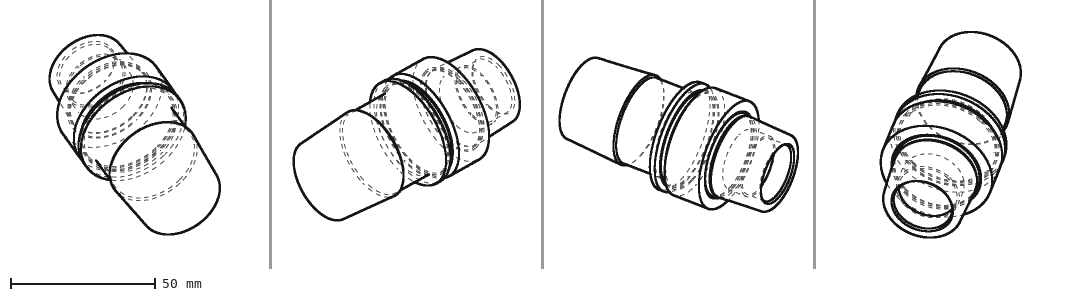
import cadquery as cq

overall_length = 79.9

tip_radius = 14.2
tip_rounding = 0.8
taper_end_x = 17.9
taper_end_radius = 15.1
neck_start_x = 18.6
neck_radius = 14.9

flange_radius = 20.015
flange_start_x = 19.8
flange_length = 20.0
flange_end_x = flange_start_x + flange_length

relief_depth = 0.2
relief_floor_radius = 15.4
relief_outer_radius = 16.05
relief_fillet = relief_floor_radius - neck_radius
relief_floor_x = flange_start_x + relief_depth

groove_start_x = 33.8
groove_floor_start_x = 34.9
groove_floor_end_x = 36.8
groove_end_x = 37.8
groove_floor_radius = 17.4
groove_wall_radius = 18.05

body_radius = 16.0
body_fillet = 0.8
nose_step_start_x = 55.9
nose_step_length = 0.6
nose_start_x = nose_step_start_x + nose_step_length
nose_start_radius = 16.7
nose_end_radius = 15.1
nose_rounding = 0.8

bore_radius = 10.5
bore_chamfer_length = 0.9
bore_mouth_radius = 11.0
undercut_start_x = 8.0
undercut_radius = 11.3
bore_depth = 16.1
bore_floor_fillet = 1.5


def revolve_about_x(outline):
    """Close an (x, radius) half outline along the X axis and spin it."""
    return outline.close().revolve(360, (0, 0, 0), (1, 0, 0))


def add_shank(outline):
    """Trace the shank from its centre to the edge of the flange face."""
    return (
        outline.lineTo(0, tip_radius - tip_rounding)
        .radiusArc((tip_rounding, tip_radius), tip_rounding)
        .lineTo(taper_end_x, taper_end_radius)
        .lineTo(neck_start_x, neck_radius)
        .lineTo(relief_floor_x - relief_fillet, neck_radius)
        .radiusArc((relief_floor_x, relief_floor_radius), -relief_fillet)
        .lineTo(flange_start_x, relief_outer_radius)
    )


def add_flange(outline):
    """Trace the flange and the gripper groove around it."""
    return (
        outline.lineTo(flange_start_x, flange_radius)
        .lineTo(groove_start_x, flange_radius)
        .lineTo(groove_floor_start_x, groove_wall_radius)
        .lineTo(groove_floor_start_x, groove_floor_radius)
        .lineTo(groove_floor_end_x, groove_floor_radius)
        .lineTo(groove_floor_end_x, groove_wall_radius)
        .lineTo(groove_end_x, flange_radius)
        .lineTo(flange_end_x, flange_radius)
    )


def add_body_and_nose(outline):
    """Trace the body, the step up to the nose, and the nose to its centre."""
    return (
        outline.lineTo(flange_end_x, body_radius + body_fillet)
        .radiusArc((flange_end_x + body_fillet, body_radius), -body_fillet)
        .lineTo(nose_step_start_x, body_radius)
        .lineTo(nose_start_x, nose_start_radius)
        .lineTo(overall_length - nose_rounding, nose_end_radius)
        .radiusArc((overall_length, nose_end_radius - nose_rounding), nose_rounding)
        .lineTo(overall_length, 0)
    )


def make_holder():
    outline = cq.Workplane("XY").moveTo(0, 0)
    outline = add_shank(outline)
    outline = add_flange(outline)
    outline = add_body_and_nose(outline)
    return revolve_about_x(outline)


def make_bore():
    outline = (
        cq.Workplane("XY")
        .moveTo(0, 0)
        .lineTo(0, bore_mouth_radius)
        .lineTo(bore_chamfer_length, bore_radius)
        .lineTo(undercut_start_x, bore_radius)
        .lineTo(undercut_start_x, undercut_radius)
        .lineTo(bore_depth - bore_floor_fillet, undercut_radius)
        .radiusArc((bore_depth, undercut_radius - bore_floor_fillet), bore_floor_fillet)
        .lineTo(bore_depth, 0)
    )
    return revolve_about_x(outline)


result = make_holder().cut(make_bore())